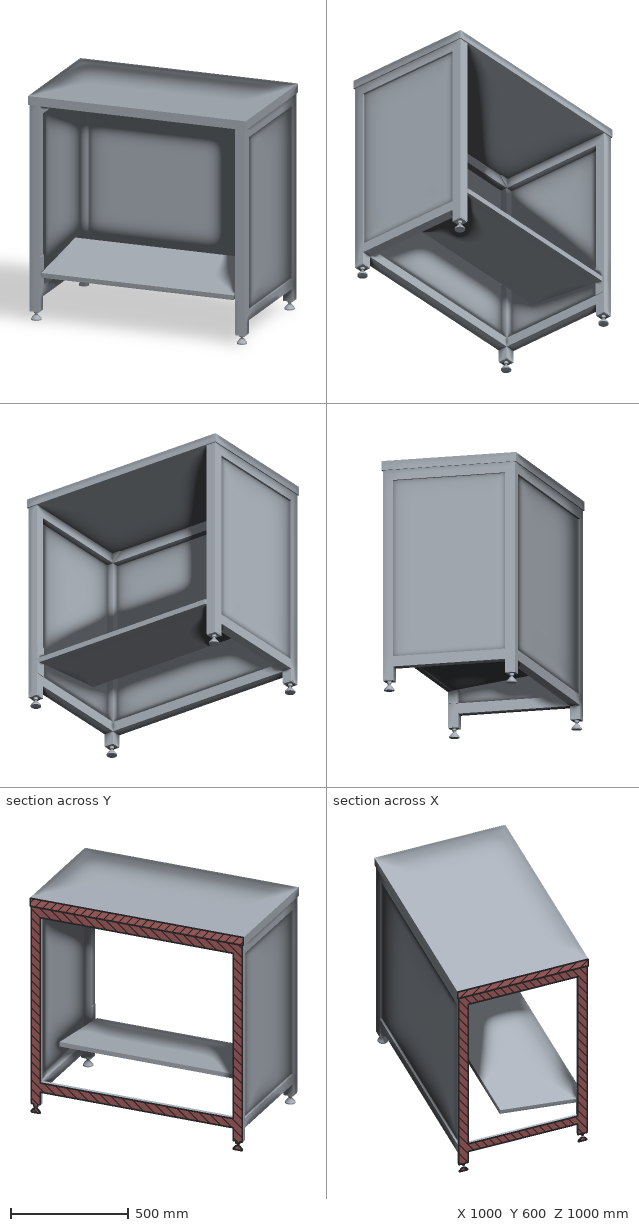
import cadquery as cq

LENGTH = 1000.0
DEPTH = 600.0
HEIGHT = 1000.0
TOP_THICKNESS = 40.0

OVERHANG = 5.0
TUBE = 45.0
LEG_BOTTOM = 40.0
LOWER_RAIL_Z = 100.0
FRAME_TOP = HEIGHT - TOP_THICKNESS
FRAME_HALF_X = LENGTH / 2 - OVERHANG
FRAME_HALF_Y = DEPTH / 2 - OVERHANG
LEG_X = FRAME_HALF_X - TUBE / 2
LEG_Y = FRAME_HALF_Y - TUBE / 2
INNER_X = FRAME_HALF_X - TUBE
INNER_Y = FRAME_HALF_Y - TUBE
UPPER_RAIL_Z = FRAME_TOP - TUBE
LOWER_RAIL_TOP = LOWER_RAIL_Z + TUBE

PANEL_RECESS = 10.0
PANEL_THICKNESS = 3.0
PANEL_HEIGHT = UPPER_RAIL_Z - LOWER_RAIL_TOP

GUSSET_REACH = 40.0
GUSSET_SIDE_EDGE = 8.0
GUSSET_LOWER_EDGE = 4.0
GUSSET_THICKNESS = 5.0

BRACKET_THICKNESS = 3.0
BRACKET_TOP = 286.0
BRACKET_SETBACK = 5.0
BRACKET_WIDTH = TUBE - BRACKET_SETBACK

CAP_THICKNESS = 4.0
CAP_INSET = 0.5

FOOT_RADIUS = 22.0
FOOT_RIM = 6.0
CONE_TOP_RADIUS = 9.0
CONE_TOP = 22.0
NECK_RADIUS = 5.0
STEM_RADIUS = 10.0
STEM_BOTTOM = 30.0

SHELF_TILT = 7.0
SHELF_LENGTH = 882.0
SHELF_DEPTH = 372.0
SHELF_THICKNESS = 20.0
BAR_DEPTH = 21.0
BAR_HEIGHT = 22.0
BAR_FRONT_Z = 217.0


def box(size_x, size_y, size_z, x, y, z):
    """Box centred on x and y, standing on z."""
    return cq.Workplane("XY").box(size_x, size_y, size_z, centered=(True, True, False)).translate((x, y, z))


def make_worktop():
    return box(LENGTH, DEPTH, TOP_THICKNESS, 0, 0, FRAME_TOP)


def make_leg():
    cap_size = TUBE - 2 * CAP_INSET
    tube_bottom = LEG_BOTTOM + CAP_THICKNESS
    tube = box(TUBE, TUBE, FRAME_TOP - tube_bottom, 0, 0, tube_bottom)
    return tube.union(box(cap_size, cap_size, CAP_THICKNESS, 0, 0, LEG_BOTTOM))


def make_foot():
    """Turned levelling foot: disc with a conical top, thin neck and stem."""
    half_profile = [
        (0, 0),
        (FOOT_RADIUS, 0),
        (FOOT_RADIUS, FOOT_RIM),
        (CONE_TOP_RADIUS, CONE_TOP),
        (NECK_RADIUS, CONE_TOP),
        (NECK_RADIUS, STEM_BOTTOM),
        (STEM_RADIUS, STEM_BOTTOM),
        (STEM_RADIUS, LEG_BOTTOM),
        (0, LEG_BOTTOM),
    ]
    return cq.Workplane("XZ").polyline(half_profile).close().revolve(360, (0, 0, 0), (0, 1, 0))


def make_gusset(side):
    """Plate with a sloping edge in the corner between a rear leg and the worktop."""
    outline = [
        (0, 0),
        (GUSSET_REACH, 0),
        (GUSSET_REACH, -GUSSET_SIDE_EDGE),
        (GUSSET_LOWER_EDGE, -TUBE),
        (0, -TUBE),
    ]
    points = [(side * (INNER_X - dx), FRAME_TOP + dz) for dx, dz in outline]
    return cq.Workplane("XZ", origin=(0, INNER_Y, 0)).polyline(points).close().extrude(GUSSET_THICKNESS)


def make_bracket(side):
    front = -FRAME_HALF_Y + BRACKET_SETBACK
    return box(
        BRACKET_THICKNESS,
        BRACKET_WIDTH,
        BRACKET_TOP - LOWER_RAIL_TOP,
        side * (INNER_X - BRACKET_THICKNESS / 2),
        front + BRACKET_WIDTH / 2,
        LOWER_RAIL_TOP,
    )


def make_side(side):
    """Two legs with feet, the rails and panel between them, and a gusset and a bracket."""
    body = make_gusset(side).union(make_bracket(side))
    for end in (-1, 1):
        leg = make_leg().union(make_foot())
        body = body.union(leg.translate((side * LEG_X, end * LEG_Y, 0)))
    for rail_z in (LOWER_RAIL_Z, UPPER_RAIL_Z):
        body = body.union(box(TUBE, 2 * INNER_Y, TUBE, side * LEG_X, 0, rail_z))
    panel_x = side * (FRAME_HALF_X - PANEL_RECESS - PANEL_THICKNESS / 2)
    return body.union(box(PANEL_THICKNESS, 2 * INNER_Y, PANEL_HEIGHT, panel_x, 0, LOWER_RAIL_TOP))


def make_back():
    """Two rails between the rear legs and the panel that fills the space between the rails."""
    panel_y = FRAME_HALF_Y - PANEL_RECESS - PANEL_THICKNESS / 2
    body = box(2 * INNER_X, PANEL_THICKNESS, PANEL_HEIGHT, 0, panel_y, LOWER_RAIL_TOP)
    for rail_z in (LOWER_RAIL_Z, UPPER_RAIL_Z):
        body = body.union(box(2 * INNER_X, TUBE, TUBE, 0, LEG_Y, rail_z))
    return body


def make_frame():
    body = make_back()
    for side in (-1, 1):
        body = body.union(make_side(side))
    return body


def tilt(body):
    """Move a body from the level shelf position to the tilted one."""
    turned = body.rotate((0, 0, 0), (1, 0, 0), SHELF_TILT)
    return turned.translate((0, -FRAME_HALF_Y, BAR_FRONT_Z))


def make_shelf():
    middle_y = BAR_DEPTH + SHELF_DEPTH / 2
    return tilt(box(SHELF_LENGTH, SHELF_DEPTH, SHELF_THICKNESS, 0, middle_y, -SHELF_THICKNESS))


def make_front_bar():
    return tilt(box(SHELF_LENGTH, BAR_DEPTH, BAR_HEIGHT, 0, BAR_DEPTH / 2, -BAR_HEIGHT))


worktop = make_worktop()
frame = make_frame()
shelf = make_shelf()
front_bar = make_front_bar()
result = cq.Compound.makeCompound([worktop.val(), frame.val(), shelf.val(), front_bar.val()])